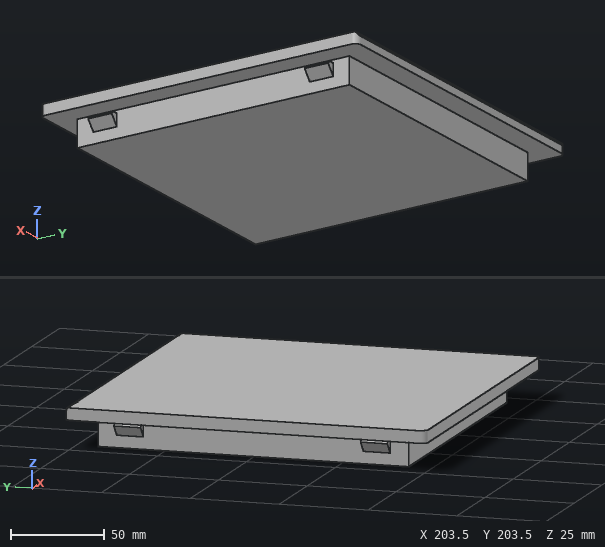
import cadquery as cq

SIDE = 203.5
PLATE_THICKNESS = 8.5
CORNER_RADIUS = 3.5

BORDER_WIDTH = 9.4
BORDER_DROP = 1.6
BACK_BORDER_WIDTH = 5.0
BACK_BORDER_DROP = 3.7
BACK_BORDER_RADIUS = 7.1

BODY_SIDE = 174.6
BODY_DEPTH = 25.0 - PLATE_THICKNESS

CLIP_LENGTH = 15.0
CLIP_OFFSET_Y = 69.4
CLIP_REACH = 5.0
CLIP_FLAT = 3.5
CLIP_TOP_Z = -1.8
CLIP_TIP_Z = -3.5
CLIP_BOTTOM_Z = -9.5


def border_cutter():
    """Wedge that slopes the top face down towards the +Y edge."""
    edge = SIDE / 2
    return (
        cq.Workplane("YZ")
        .moveTo(edge - BORDER_WIDTH, PLATE_THICKNESS)
        .lineTo(edge, PLATE_THICKNESS)
        .lineTo(edge, PLATE_THICKNESS - BORDER_DROP)
        .close()
        .extrude(edge, both=True)
    )


def back_round_cutter():
    """Waste above the convex border along the +Y edge."""
    edge = SIDE / 2
    inner = edge - BACK_BORDER_WIDTH
    return (
        cq.Workplane("YZ")
        .moveTo(inner, PLATE_THICKNESS)
        .lineTo(edge, PLATE_THICKNESS)
        .lineTo(edge, PLATE_THICKNESS - BACK_BORDER_DROP)
        .radiusArc((inner, PLATE_THICKNESS), -BACK_BORDER_RADIUS)
        .close()
        .extrude(edge, both=True)
    )


def make_plate():
    plate = (
        cq.Workplane("XY")
        .rect(SIDE, SIDE)
        .extrude(PLATE_THICKNESS)
        .edges("|Z")
        .fillet(CORNER_RADIUS)
    )
    plate = plate.cut(back_round_cutter())
    border = border_cutter()
    for angle in (90, 180, 270):
        plate = plate.cut(border.rotate((0, 0, 0), (0, 0, 1), angle))
    return plate


def make_body():
    return cq.Workplane("XY").rect(BODY_SIDE, BODY_SIDE).extrude(-BODY_DEPTH)


def make_clip(side, center_y):
    """Barbed clip on the +X (side = 1) or -X (side = -1) face of the body."""
    wall = BODY_SIDE / 2
    return (
        cq.Workplane("XZ", origin=(0, center_y, 0))
        .moveTo(side * wall, CLIP_TOP_Z)
        .lineTo(side * (wall + CLIP_FLAT), CLIP_TOP_Z)
        .lineTo(side * (wall + CLIP_REACH), CLIP_TIP_Z)
        .lineTo(side * wall, CLIP_BOTTOM_Z)
        .close()
        .extrude(CLIP_LENGTH / 2, both=True)
    )


result = make_plate().union(make_body())
for side in (-1, 1):
    for center_y in (-CLIP_OFFSET_Y, CLIP_OFFSET_Y):
        result = result.union(make_clip(side, center_y))